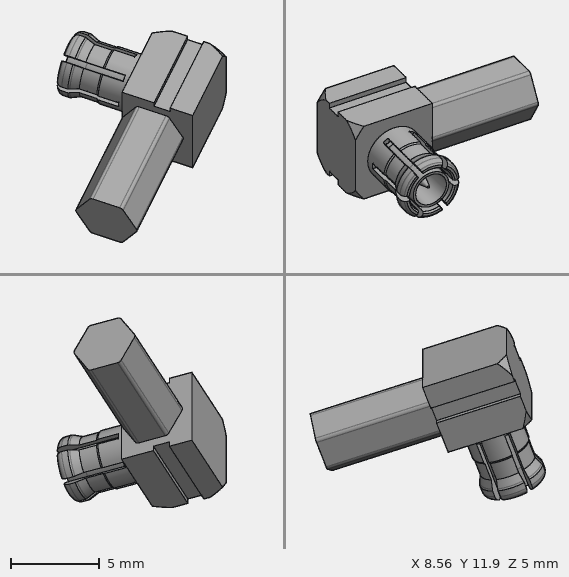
import cadquery as cq
import math

block_length = 4.28
block_side = 5.0
corner_cone_radius = 2.75
slot_start = 1.94
slot_width = 0.98
slot_depth = 0.32

hex_flats = 3.28
hex_edge_radius = 0.25
sleeve_length = 6.9

plug_length = 4.28
shell_radius = 1.7
neck_radius = 1.64
head_radius = 1.89
tip_radius = 1.65
tip_bevel_radius = 1.77
step_start = 1.89
step_end = 1.78
head_cone_start = 2.95
head_cone_end = 3.44
head_cone_radius = 1.85
head_flat_start = 3.55
head_flat_end = 3.92
tip_bevel_start = 4.2
finger_bore_radius = 1.4
finger_mouth_radius = 1.5
finger_mouth_depth = 0.11
finger_count = 6
finger_slot_width = 0.36
finger_slot_end = 0.54
first_slot_angle = 90

tube_tip = 4.15
tube_tip_radius = 1.15
tube_taper_end = 2.95
tube_radius = 1.21
tube_cone_start = 0.65
tube_bore_radius = 1.0
tube_cone_end = tube_cone_start - (finger_bore_radius - tube_radius)
pin_radius = 0.25
pin_tip_radius = 0.07
pin_tip = 3.87
pin_taper_start = 3.21


def revolve_about_x(profile):
    """Turn a closed (x, radius) outline about the X axis."""
    return profile.close().revolve(360, (0, 0, 0), (1, 0, 0))


def make_block():
    half = block_side / 2
    block = cq.Workplane("XY").box(block_length, block_side, block_side, centered=(False, True, True))
    for side in (-1, 1):
        slot = (
            cq.Workplane("XY")
            .box(slot_width, block_side, 2 * slot_depth, centered=(False, True, True))
            .translate((slot_start, 0, side * half))
        )
        block = block.cut(slot)
    bevel_cone = (
        cq.Workplane("XY")
        .polyline([
            (0, half),
            (corner_cone_radius, half),
            (corner_cone_radius + block_side, -half),
            (0, -half),
        ])
        .close()
        .revolve(360, (0, 0, 0), (0, 1, 0))
        .translate((block_length / 2, 0, 0))
    )
    return block.intersect(bevel_cone)


def make_sleeve():
    corner_diameter = hex_flats / math.cos(math.pi / 6)
    edge_pullback = hex_edge_radius * (1 / math.cos(math.pi / 6) - 1)
    center_x = corner_diameter / 2 - edge_pullback
    return (
        cq.Workplane("XZ", origin=(center_x, -block_side / 2, 0))
        .polygon(6, corner_diameter)
        .extrude(sleeve_length)
        .edges("|Y")
        .fillet(hex_edge_radius)
    )


def make_shell():
    shell = revolve_about_x(
        cq.Workplane("XY")
        .moveTo(0, 0)
        .lineTo(0, shell_radius)
        .lineTo(-step_end, shell_radius)
        .lineTo(-step_start, neck_radius)
        .lineTo(-head_cone_start, neck_radius)
        .lineTo(-head_cone_end, head_cone_radius)
        .lineTo(-head_flat_start, head_radius)
        .lineTo(-head_flat_end, head_radius)
        .tangentArcPoint((-tip_bevel_start, tip_bevel_radius), relative=False)
        .lineTo(-plug_length, tip_radius)
        .lineTo(-plug_length, 0)
    )
    bore = revolve_about_x(
        cq.Workplane("XY")
        .moveTo(-plug_length, 0)
        .lineTo(-plug_length, finger_mouth_radius)
        .lineTo(-plug_length + finger_mouth_depth, finger_bore_radius)
        .lineTo(-tube_cone_end, finger_bore_radius)
        .lineTo(-tube_cone_end, 0)
    )
    shell = shell.cut(bore)
    slot_length = plug_length - finger_slot_end
    for i in range(finger_count):
        slot = (
            cq.Workplane("XY")
            .box(slot_length, finger_slot_width, 2 * head_radius, centered=(False, True, False))
            .translate((-plug_length, 0, 0))
            .rotate((0, 0, 0), (1, 0, 0), first_slot_angle + i * 360 / finger_count)
        )
        shell = shell.cut(slot)
    return shell


def make_tube():
    """Inner tube: slightly tapered tip, plain body and a 45 degree cone at its root."""
    return revolve_about_x(
        cq.Workplane("XY")
        .moveTo(0, 0)
        .lineTo(0, finger_bore_radius)
        .lineTo(-tube_cone_end, finger_bore_radius)
        .lineTo(-tube_cone_start, tube_radius)
        .lineTo(-tube_taper_end, tube_radius)
        .lineTo(-tube_tip, tube_tip_radius)
        .lineTo(-tube_tip, 0)
    )


def make_tube_bore():
    return revolve_about_x(
        cq.Workplane("XY")
        .moveTo(-tube_tip, 0)
        .lineTo(-tube_tip, tube_bore_radius)
        .lineTo(0, tube_bore_radius)
        .lineTo(0, 0)
    )


def make_pin():
    return revolve_about_x(
        cq.Workplane("XY")
        .moveTo(0, 0)
        .lineTo(0, pin_radius)
        .lineTo(-pin_taper_start, pin_radius)
        .lineTo(-pin_tip, pin_tip_radius)
        .lineTo(-pin_tip, 0)
    )


plug = make_shell().union(make_tube()).cut(make_tube_bore()).union(make_pin())
result = make_block().union(make_sleeve()).union(plug)